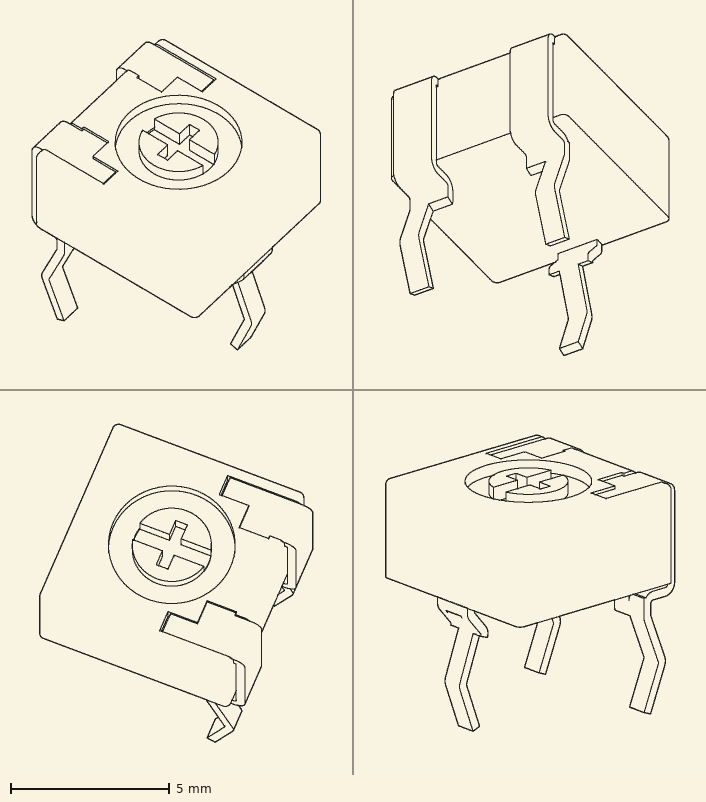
import cadquery as cq
import math


overall_length = 6.9
overall_height = 7.67
housing_width = 6.5
housing_height = 3.3
housing_round = 0.2
housing_back = 0.4
housing_length = overall_length - housing_back
housing_bottom = overall_height - housing_height
housing_center_x = housing_back + housing_length / 2

recess_diameter = 4.0
recess_depth = 0.4
rotor_diameter = 2.5
slot_depth = 0.5
long_slot_width = 0.6
short_slot_width = 0.4
short_slot_length = 1.625

sheet = 0.3
half_sheet = sheet / 2
bend_radius = 0.1
mid_bend_radius = bend_radius + half_sheet
lead_width = 0.7
knee_height = 1.63

clip_width = 1.4
clip_side_inset = 0.4
clip_top_inset = 0.1
clip_outer_y = housing_width / 2 - clip_side_inset
clip_top = overall_height - clip_top_inset
clip_top_bend_radius = 0.04
clip_shelf_bottom = 3.8
clip_lead_x = 1.16
clip_lead_bend_z = 3.27
clip_foot_angle = math.radians(22)
tab_length = 2.82
tab_wide_start = 0.905
tab_wide_end = 1.9
tab_wide_step = 0.1
tab_end_gap = 0.085

pin_width = 1.435
pin_end_inset = 0.045
pin_x = overall_length - pin_end_inset - half_sheet
pin_first_bend_z = 4.08
pin_second_bend_z = 3.36
pin_upper_angle = math.radians(40)
pin_leg_angle = math.radians(20)


def bend_frames(before, corner, after, mid_radius):
    """Start, middle and end of a bend on the mid-line, each as (point, unit normal)."""
    heading_in = math.atan2(corner[1] - before[1], corner[0] - before[0])
    heading_out = math.atan2(after[1] - corner[1], after[0] - corner[0])
    turn = math.remainder(heading_out - heading_in, 2 * math.pi)
    heading_mid = heading_in + turn / 2
    setback = mid_radius * math.tan(abs(turn) / 2)
    bulge = math.copysign(mid_radius / math.cos(turn / 2) - mid_radius, turn)

    def left_normal(heading):
        return (-math.sin(heading), math.cos(heading))

    normal_in, normal_mid, normal_out = map(left_normal, (heading_in, heading_mid, heading_in + turn))
    start = (corner[0] - setback * math.cos(heading_in), corner[1] - setback * math.sin(heading_in))
    middle = (corner[0] + bulge * normal_mid[0], corner[1] + bulge * normal_mid[1])
    end = (corner[0] + setback * math.cos(heading_out), corner[1] + setback * math.sin(heading_out))
    return [(start, normal_in), (middle, normal_mid), (end, normal_out)]


def bent_strip(corners, mid_radii, y_max, width, stop_after_bend=False):
    """Sheet strip following a mid-line in XZ, with one bend radius per inner corner.

    With stop_after_bend the straight that follows the last bend is left out.
    """
    bends = [
        bend_frames(*corners[i:i + 3], radius)
        for i, radius in enumerate(mid_radii)
    ]
    first = (corners[0], bends[0][0][1])
    last = (corners[-1], bends[-1][-1][1])

    def shifted(frame, offset):
        point, normal = frame
        return (point[0] + offset * normal[0], point[1] + offset * normal[1])

    profile = cq.Workplane("XZ", origin=(0, y_max, 0)).moveTo(*shifted(first, half_sheet))
    for start, middle, end in bends:
        profile = profile.lineTo(*shifted(start, half_sheet))
        profile = profile.threePointArc(shifted(middle, half_sheet), shifted(end, half_sheet))
    if not stop_after_bend:
        profile = profile.lineTo(*shifted(last, half_sheet)).lineTo(*shifted(last, -half_sheet))
    for start, middle, end in reversed(bends):
        profile = profile.lineTo(*shifted(end, -half_sheet))
        profile = profile.threePointArc(shifted(middle, -half_sheet), shifted(start, -half_sheet))
    return profile.lineTo(*shifted(first, -half_sheet)).close().extrude(width)


def stepped_strip(corners, mid_radii, wide_bends, wide_y, narrow_y):
    """Strip that is wide up to the end of bend number wide_bends, then narrow.

    wide_y and narrow_y are each (largest Y, width).
    """
    wide = bent_strip(corners[:wide_bends + 2], mid_radii[:wide_bends], *wide_y, stop_after_bend=True)
    narrow = bent_strip(corners[wide_bends - 1:], mid_radii[wide_bends - 1:], *narrow_y)
    return wide.union(narrow)


def foot_tip(knee_x, angle, direction):
    """Mid-line end of a leg whose square-cut tip touches Z = 0."""
    tip_z = half_sheet * math.sin(angle)
    return (knee_x + direction * (knee_height - tip_z) * math.tan(angle), tip_z)


def tab_outline(start_x, end_x):
    """Plan of the tab on the +Y side: narrow at its tip, slightly widened before it."""
    inner_y = clip_outer_y - clip_width
    return (
        cq.Workplane("XY", origin=(0, 0, clip_top - sheet))
        .moveTo(start_x, clip_outer_y)
        .lineTo(end_x, clip_outer_y)
        .lineTo(end_x, clip_outer_y - lead_width)
        .lineTo(tab_wide_end, clip_outer_y - lead_width)
        .lineTo(tab_wide_end, inner_y - tab_wide_step)
        .lineTo(tab_wide_start, inner_y - tab_wide_step)
        .lineTo(tab_wide_start, inner_y)
        .lineTo(start_x, inner_y)
        .close()
    )


def make_housing():
    """Rounded block with the rotor recess, the cross slot and the two tab pockets."""
    block = (
        cq.Workplane("XY", origin=(housing_center_x, 0, housing_bottom))
        .rect(housing_length, housing_width)
        .extrude(housing_height)
        .edges("|Z or >Z")
        .fillet(housing_round)
    )
    recess_floor = cq.Workplane("XY", origin=(housing_center_x, 0, overall_height - recess_depth))
    recess = (
        recess_floor.circle(recess_diameter / 2)
        .circle(rotor_diameter / 2)
        .extrude(recess_depth)
    )
    slot_floor = cq.Workplane("XY", origin=(housing_center_x, 0, overall_height - slot_depth))
    rotor = slot_floor.circle(rotor_diameter / 2).extrude(slot_depth)
    long_slot = slot_floor.rect(rotor_diameter, long_slot_width).extrude(slot_depth).intersect(rotor)
    short_slot = slot_floor.rect(short_slot_width, short_slot_length).extrude(slot_depth)
    housing = block.cut(recess).cut(long_slot).cut(short_slot)

    pocket_depth = clip_top_inset + sheet
    pocket = tab_outline(housing_back, tab_length + tab_end_gap).extrude(pocket_depth)
    return housing.cut(pocket).cut(pocket.mirror("XZ"))


def make_clip():
    """Clip on the +Y side: tab on top, plate down the side, shelf below and a kinked lead."""
    tab_mid_z = clip_top - half_sheet
    shelf_mid_z = clip_shelf_bottom + half_sheet
    tip = foot_tip(0, clip_foot_angle, 1)
    knee_x = clip_lead_x - tip[0]
    corners = [
        (tab_wide_start, tab_mid_z),
        (half_sheet, tab_mid_z),
        (half_sheet, shelf_mid_z),
        (clip_lead_x, shelf_mid_z),
        (clip_lead_x, clip_lead_bend_z),
        (knee_x, knee_height),
        (clip_lead_x, tip[1]),
    ]
    mid_radii = [clip_top_bend_radius + half_sheet] + [mid_bend_radius] * 4
    strip = stepped_strip(
        corners,
        mid_radii,
        wide_bends=4,
        wide_y=(clip_outer_y, clip_width),
        narrow_y=(clip_outer_y, lead_width),
    )
    return strip.union(tab_outline(housing_back, tab_length).extrude(sheet))


def make_pin():
    """Pin on the symmetry plane: offset inward, then a kinked lead."""
    second_bend_x = pin_x - (pin_first_bend_z - pin_second_bend_z) * math.tan(pin_upper_angle)
    knee_x = second_bend_x + (pin_second_bend_z - knee_height) * math.tan(pin_leg_angle)
    corners = [
        (pin_x, housing_bottom),
        (pin_x, pin_first_bend_z),
        (second_bend_x, pin_second_bend_z),
        (knee_x, knee_height),
        foot_tip(knee_x, pin_leg_angle, -1),
    ]
    return stepped_strip(
        corners,
        [mid_bend_radius] * 3,
        wide_bends=2,
        wide_y=(pin_width / 2, pin_width),
        narrow_y=(lead_width / 2, lead_width),
    )


clip = make_clip()
result = make_housing().union(clip).union(clip.mirror("XZ")).union(make_pin())